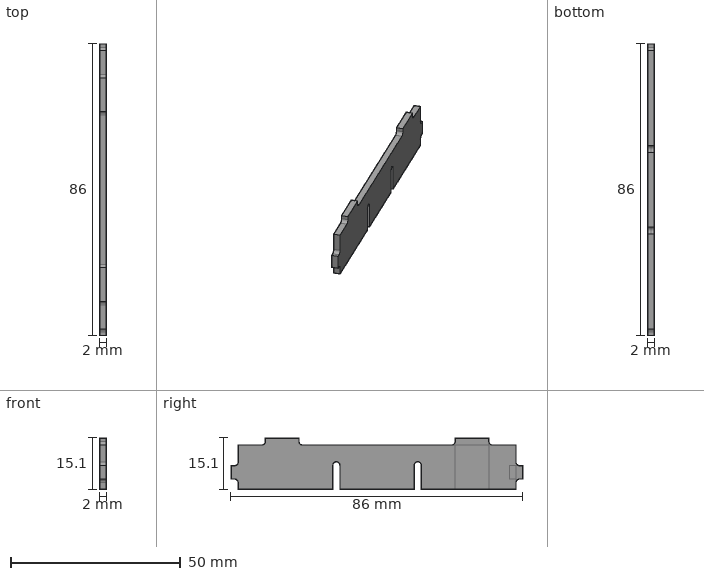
import cadquery as cq

thickness = 2.0
body_length = 82.0
body_height = 13.1
root_radius = 1.0

top_tab_width = 10.0
top_tab_height = 2.0
top_tab_offset = 28.0

end_tab_length = 2.0
end_tab_height = 4.0
end_tab_bottom = 3.0

slot_width = 2.0
slot_depth = 8.1
slot_offset = 12.0


def block(y_center, length, z_bottom, height):
    """Full-thickness block centred on y_center and standing on z_bottom."""
    return (
        cq.Workplane("XY")
        .box(thickness, length, height, centered=(True, True, False))
        .translate((0, y_center, z_bottom))
    )


def edges_along_x(y, z):
    """Selector for the single through-thickness edge at (y, z)."""
    tolerance = 0.01
    reach = thickness
    return cq.selectors.BoxSelector(
        (-reach, y - tolerance, z - tolerance),
        (reach, y + tolerance, z + tolerance),
    )


def add_top_tab(plate, y_center):
    """Add a tab to the top edge and fillet both of its roots."""
    plate = plate.union(block(y_center, top_tab_width, 0, body_height + top_tab_height))
    for y in (y_center - top_tab_width / 2, y_center + top_tab_width / 2):
        plate = plate.edges(edges_along_x(y, body_height)).fillet(root_radius)
    return plate


def add_end_tab(plate, side):
    """Add a tab to the end at +Y (side 1) or -Y (side -1) and fillet its roots."""
    end_y = side * body_length / 2
    plate = plate.union(block(end_y, 2 * end_tab_length, end_tab_bottom, end_tab_height))
    for z in (end_tab_bottom, end_tab_bottom + end_tab_height):
        plate = plate.edges(edges_along_x(end_y, z)).fillet(root_radius)
    return plate


def cut_slot(plate, y_center):
    """Cut a slot up from the bottom edge, closed by a half-round end."""
    radius = slot_width / 2
    straight_depth = slot_depth - radius
    slot = block(y_center, slot_width, 0, straight_depth)
    round_end = (
        cq.Workplane("YZ")
        .center(y_center, straight_depth)
        .circle(radius)
        .extrude(thickness / 2, both=True)
    )
    return plate.cut(slot.union(round_end))


result = block(0, body_length, 0, body_height)
for side in (-1, 1):
    result = add_top_tab(result, side * top_tab_offset)
    result = add_end_tab(result, side)
    result = cut_slot(result, side * slot_offset)